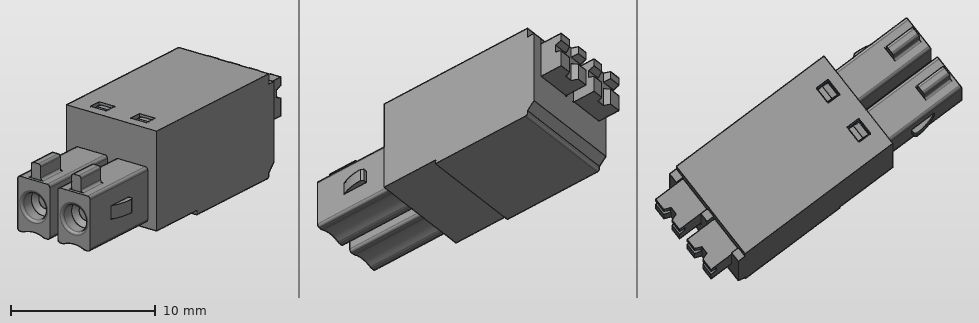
import cadquery as cq


length = 21.8
width = 7.8
height = 7.8
pole_x = 1.75

housing_front = 6.58
housing_back = 20.01
step_front = 19.42
step_top = 7.02
back_chamfer_top = 0.98
back_chamfer_bottom = 0.4
bottom_edge_radius = 0.2
bottom_relief_back = 11.18
bottom_relief_depth = 0.33

finger_width = 2.8
finger_bottom = 0.78
finger_top = 4.9
finger_edge_radius = 0.22
hollow_height = 0.22
hollow_half_width = 0.92
hollow_edge_radius = 0.44

key_width = 0.8
key_front = 0.26
key_back = 2.5
key_top = 6.1
key_edge_radius = 0.2

bore_z = 2.9
bore_radius = 1.0
mouth_rounding = 0.2
bore_depth = 1.05
cone_end_radius = 0.6
cone_end_depth = 1.4

barb_tip_x = 3.55
barb_front = 2.38
barb_tip_y = 4.2
barb_back = 4.38
barb_bevel = 0.13
barb_bottom = 2.42
barb_height = 1.0

lever_width = 2.7
lever_bottom = 3.66
lever_top = 6.58
lever_clearance = 0.09
notch_mouth = 0.95
notch_floor = 0.57
notch_depth = 0.48
side_notch_z = 5.47

window_width = 1.35
window_front = 7.37
window_back = 8.37
window_depth = 0.65
tongue_width = 1.1
tongue_offset = 0.01
tongue_front = 7.43
tongue_bend = 7.95
tongue_depth = 0.2
tongue_drop = 0.2

finger_outer_x = pole_x + finger_width / 2
finger_inner_x = pole_x - finger_width / 2
lever_x = finger_outer_x - lever_width / 2


def block(x_min, x_max, y_min, y_max, z_min, z_max):
    size = (x_max - x_min, y_max - y_min, z_max - z_min)
    return cq.Workplane("XY").box(*size, centered=False).translate((x_min, y_min, z_min))


def make_housing():
    """Housing: one side profile extruded across the full width."""
    return (
        cq.Workplane("YZ", origin=(-width / 2, 0, 0))
        .moveTo(housing_front, bottom_relief_depth)
        .lineTo(housing_front, height)
        .lineTo(step_front, height)
        .lineTo(step_front, step_top)
        .lineTo(housing_back, step_top)
        .lineTo(housing_back, back_chamfer_top)
        .lineTo(step_front, back_chamfer_bottom)
        .lineTo(step_front, bottom_edge_radius)
        .radiusArc((step_front - bottom_edge_radius, 0), bottom_edge_radius)
        .lineTo(bottom_relief_back, 0)
        .lineTo(bottom_relief_back, bottom_relief_depth)
        .close()
        .extrude(width)
    )


def make_finger():
    """Finger of the +X pole, with a shallow arched hollow along its underside."""
    finger = block(finger_inner_x, finger_outer_x, 0, housing_front, finger_bottom, finger_top)
    finger = finger.edges("|Y").fillet(finger_edge_radius)
    hollow = (
        cq.Workplane("XZ", origin=(pole_x, 0, finger_bottom))
        .moveTo(-hollow_half_width, 0)
        .threePointArc((0, hollow_height), (hollow_half_width, 0))
        .close()
        .extrude(-housing_front)
    )
    finger = finger.cut(hollow)
    margin = 0.02
    hollow_edges = cq.selectors.BoxSelector(
        (pole_x - hollow_half_width - margin, 0, finger_bottom - margin),
        (pole_x + hollow_half_width + margin, housing_front, finger_bottom + margin),
    )
    return finger.edges("|Y").edges(hollow_edges).fillet(hollow_edge_radius)


def make_key():
    """Key with rounded top edges and concave flares where it meets the finger."""
    half = key_width / 2
    radius = key_edge_radius
    return (
        cq.Workplane("XZ", origin=(pole_x, key_front, finger_top))
        .moveTo(-half - radius, 0)
        .radiusArc((-half, radius), -radius)
        .lineTo(-half, key_top - finger_top - radius)
        .radiusArc((-half + radius, key_top - finger_top), radius)
        .lineTo(half - radius, key_top - finger_top)
        .radiusArc((half, key_top - finger_top - radius), radius)
        .lineTo(half, radius)
        .radiusArc((half + radius, 0), -radius)
        .close()
        .extrude(key_front - key_back)
    )


def make_barb():
    """Barb whose curved flank rises from the finger side to a bevelled tip."""
    rise = barb_tip_x - finger_outer_x
    run = barb_tip_y - barb_front
    flank_radius = (rise**2 + run**2) / (2 * rise)
    return (
        cq.Workplane("XY", origin=(0, 0, barb_bottom))
        .moveTo(pole_x, barb_front)
        .lineTo(finger_outer_x, barb_front)
        .radiusArc((barb_tip_x, barb_tip_y), -flank_radius)
        .lineTo(barb_tip_x - barb_bevel, barb_back)
        .lineTo(pole_x, barb_back)
        .close()
        .extrude(barb_height)
    )


def make_bore():
    """Bore with a rounded mouth and a conical, flat-ended bottom."""
    return (
        cq.Workplane("XY", origin=(pole_x, 0, bore_z))
        .lineTo(bore_radius + mouth_rounding, 0)
        .radiusArc((bore_radius, mouth_rounding), mouth_rounding)
        .lineTo(bore_radius, bore_depth)
        .lineTo(cone_end_radius, cone_end_depth)
        .lineTo(0, cone_end_depth)
        .close()
        .revolve(360, (0, 0, 0), (0, 1, 0))
    )


def make_lever():
    """Lever with a vertical and a crosswise trapezoidal notch in its back end."""
    lever = block(
        lever_x - lever_width / 2, lever_x + lever_width / 2, step_front, length, lever_bottom, lever_top
    )
    notch_bottom_y = length - notch_depth
    upright_notch = (
        cq.Workplane("XY", origin=(pole_x, 0, lever_bottom))
        .moveTo(-notch_mouth / 2, length)
        .lineTo(-notch_floor / 2, notch_bottom_y)
        .lineTo(notch_floor / 2, notch_bottom_y)
        .lineTo(notch_mouth / 2, length)
        .close()
        .extrude(lever_top - lever_bottom)
    )
    cross_notch = (
        cq.Workplane("YZ", origin=(lever_x - lever_width / 2, 0, side_notch_z))
        .moveTo(length, -notch_mouth / 2)
        .lineTo(notch_bottom_y, -notch_floor / 2)
        .lineTo(notch_bottom_y, notch_floor / 2)
        .lineTo(length, notch_mouth / 2)
        .close()
        .extrude(lever_width)
    )
    return lever.cut(upright_notch).cut(cross_notch)


def make_lever_slot():
    """Slot through the back step, leaving a gap on the lever's inner side."""
    inner_x = lever_x - lever_width / 2 - lever_clearance
    return block(inner_x, finger_outer_x, step_front, housing_back, lever_bottom, height)


def make_window():
    """Window pocket around a tongue that slopes down toward the front."""
    pocket = block(
        pole_x - window_width / 2,
        pole_x + window_width / 2,
        window_front,
        window_back,
        height - window_depth,
        height,
    )
    floor = height - window_depth
    tongue_top = height - tongue_depth
    tongue = (
        cq.Workplane("YZ", origin=(pole_x + tongue_offset - tongue_width / 2, 0, 0))
        .moveTo(tongue_front, floor)
        .lineTo(tongue_front, tongue_top - tongue_drop)
        .lineTo(tongue_bend, tongue_top)
        .lineTo(window_back, tongue_top)
        .lineTo(window_back, floor)
        .close()
        .extrude(tongue_width)
    )
    return pocket.cut(tongue)


def both_poles(shape):
    return shape.union(shape.mirror("YZ"))


finger_parts = make_finger().union(make_key()).union(make_barb()).cut(make_bore())
housing = make_housing().cut(both_poles(make_lever_slot())).cut(both_poles(make_window()))
result = housing.union(both_poles(finger_parts)).union(both_poles(make_lever()))